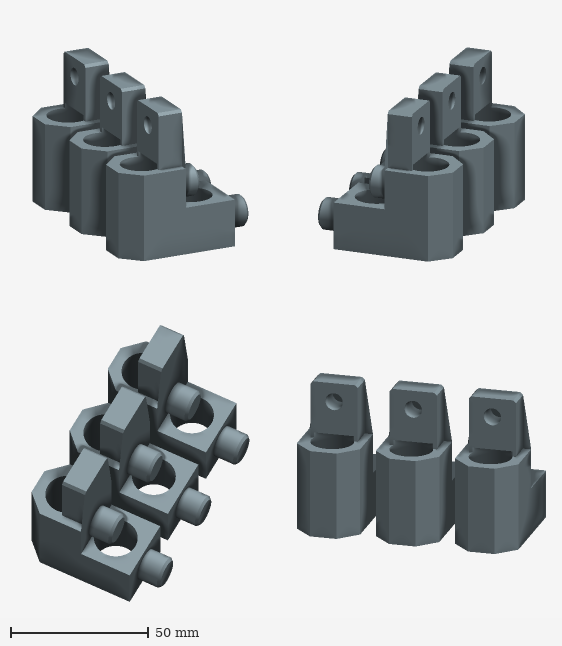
import cadquery as cq

OVERALL_LENGTH = 84.0
TERMINAL_COUNT = 3
BODY_WIDTH = 24.0
PITCH = (OVERALL_LENGTH - BODY_WIDTH) / (TERMINAL_COUNT - 1)

BODY_DEPTH = 44.0
STEP_Y = 24.0
LOW_HEIGHT = 18.0
HIGH_HEIGHT = 33.0
CORNER_CUT = 7.0

WELL_DIAMETER = 16.0
WELL_EDGE_GAP = 4.0
FRONT_WELL_Y = WELL_EDGE_GAP + WELL_DIAMETER / 2
REAR_WELL_Y = BODY_DEPTH - FRONT_WELL_Y
WELL_RELIEF = 2.0

LUG_WIDTH = 17.9
LUG_THICKNESS = 9.5
TOP_Z = 54.8
LUG_CHAMFER = 1.0
LUG_HOLE_DIAMETER = 6.55
LUG_HOLE_Z = 47.6
WEB_THICKNESS = 0.1

SCREW_DIAMETER = 12.0
SCREW_LENGTH = 9.0
SCREW_CHAMFER = 1.0
LOW_SCREW_Z = LOW_HEIGHT / 2
HIGH_SCREW_Z = 24.0


def stepped_body():
    side = (
        cq.Workplane("YZ")
        .polyline([
            (0, 0),
            (BODY_DEPTH, 0),
            (BODY_DEPTH, LOW_HEIGHT),
            (STEP_Y, LOW_HEIGHT),
            (STEP_Y, HIGH_HEIGHT),
            (0, HIGH_HEIGHT),
        ])
        .close()
        .extrude(BODY_WIDTH / 2, both=True)
    )
    return side.faces("<Y").edges("|Z").chamfer(CORNER_CUT)


def lug():
    """Block with chamfered top corners and a hole that stops at the web."""
    block = (
        cq.Workplane("XY", origin=(0, STEP_Y - LUG_THICKNESS / 2, HIGH_HEIGHT))
        .rect(LUG_WIDTH, LUG_THICKNESS)
        .extrude(TOP_Z - HIGH_HEIGHT)
        .faces(">Z").edges("|Y").chamfer(LUG_CHAMFER)
    )
    hole = (
        cq.Workplane("XZ", origin=(0, STEP_Y - WEB_THICKNESS, LUG_HOLE_Z))
        .circle(LUG_HOLE_DIAMETER / 2)
        .extrude(LUG_THICKNESS)
    )
    return block.cut(hole)


def tapered_web():
    """Thin sheet widening from the lug's top corners to the full body width."""
    half_top = LUG_WIDTH / 2
    half_base = BODY_WIDTH / 2
    shoulder_z = TOP_Z - LUG_CHAMFER
    return (
        cq.Workplane("XZ", origin=(0, STEP_Y, 0))
        .polyline([
            (-half_base, HIGH_HEIGHT),
            (half_base, HIGH_HEIGHT),
            (half_top, shoulder_z),
            (-half_top, shoulder_z),
        ])
        .close()
        .extrude(WEB_THICKNESS)
    )


def screw_head(face_y, center_z):
    return (
        cq.Workplane("XZ", origin=(0, face_y, center_z))
        .circle(SCREW_DIAMETER / 2)
        .extrude(-SCREW_LENGTH)
        .faces(">Y").edges().chamfer(SCREW_CHAMFER)
    )


def well(center_y, height):
    return (
        cq.Workplane("XY", origin=(0, center_y, 0))
        .circle(WELL_DIAMETER / 2)
        .extrude(height)
    )


def make_terminal():
    return (
        stepped_body()
        .union(lug())
        .union(tapered_web())
        .cut(well(FRONT_WELL_Y, HIGH_HEIGHT + WELL_RELIEF))
        .cut(well(REAR_WELL_Y, LOW_HEIGHT))
        .union(screw_head(STEP_Y, HIGH_SCREW_Z))
        .union(screw_head(BODY_DEPTH, LOW_SCREW_Z))
    )


terminals = []
for index in range(TERMINAL_COUNT):
    offset_x = (index - (TERMINAL_COUNT - 1) / 2) * PITCH
    terminals.append(make_terminal().translate((offset_x, 0, 0)).val())

result = cq.Compound.makeCompound(terminals)